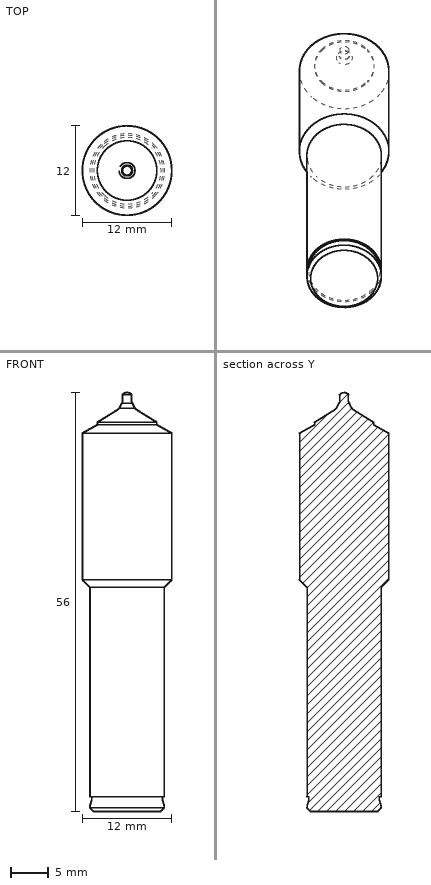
import cadquery as cq
import math

total_height = 56.05
head_radius = 6.0
shank_radius = 5.0
foot_radius = 4.5
groove_radius = 4.75
disc_radius = 4.0
collar_radius = 1.2
collar_top_radius = 1.05
neck_radius = 0.75
tip_root_radius = 0.7
tip_radius = 0.6

rim_bottom = 0.5
rim_top = 0.8
groove_floor_top = 1.5
groove_top = 1.95
shank_top = 30.0
head_bottom = 31.0
head_top = 50.6
disc_bottom = 51.75
disc_top = 52.05
collar_bottom = 53.8
collar_top = 53.9
neck_top = 54.6
tip_root_top = 54.9
dome_height = 0.3

dome_base = total_height - dome_height
dome_sphere_radius = (tip_radius**2 + dome_height**2) / (2 * dome_height)
dome_mid_radius = tip_radius / 2
dome_mid_height = (
    total_height - dome_sphere_radius + math.sqrt(dome_sphere_radius**2 - dome_mid_radius**2)
)

foot_and_groove = [
    (0, 0),
    (foot_radius, 0),
    (shank_radius, rim_bottom),
    (shank_radius, rim_top),
    (groove_radius, groove_floor_top),
    (groove_radius, groove_top),
]
shank_and_head = [
    (shank_radius, groove_top),
    (shank_radius, shank_top),
    (head_radius, head_bottom),
    (head_radius, head_top),
]
nose = [
    (disc_radius, disc_bottom),
    (disc_radius, disc_top),
    (collar_radius, collar_bottom),
    (collar_top_radius, collar_top),
]
tip = [
    (neck_radius, neck_top),
    (tip_root_radius, neck_top),
    (tip_radius, tip_root_top),
    (tip_radius, dome_base),
]

result = (
    cq.Workplane("XZ")
    .polyline(foot_and_groove + shank_and_head + nose + tip)
    .threePointArc((dome_mid_radius, dome_mid_height), (0, total_height))
    .close()
    .revolve(360, (0, 0, 0), (0, 1, 0))
)